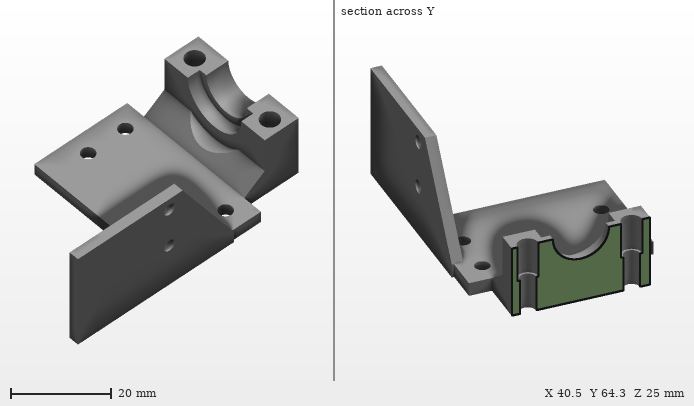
import cadquery as cq

plate_length = 40.0
plate_width = 25.0
plate_thickness = 3.0
plate_hole_diameter = 3.3
plate_hole_edge_offset = 5.0
plate_hole_rows = (10.0, 20.0)

wall_thickness = 2.5
wall_overhang = 0.5
wall_height = 25.0
wall_front_y = -24.65
wall_top_length = 28.15
wall_foot_length = 42.0
wall_hole_diameter = 2.9
wall_hole_y = 0.0
wall_hole_heights = (11.4, 21.9)

cradle_length = 30.0
cradle_height = 16.0
cradle_depth = 9.15
ramp_depth = 5.5
ramp_top_height = 7.0
bore_radius = 6.05
seat_radius = 8.0
seat_depth = 3.2
clearance_radius = 11.5
screw_spacing = 22.5
screw_pair_shift = 0.2
screw_clearance_diameter = 3.5
screw_counterbore_diameter = 4.5
screw_counterbore_depth = 8.0

center_x = plate_length / 2
cradle_face_y = plate_width + ramp_depth
cradle_back_y = cradle_face_y + cradle_depth


def vertical_cylinder(x, y, diameter, bottom, height):
    return cq.Workplane("XY", origin=(x, y, bottom)).circle(diameter / 2).extrude(height)


def bore_cylinder(radius, start_y, end_y):
    """Cylinder along Y on the bearing axis, which lies in the cradle's top face."""
    plane = cq.Workplane("XZ", origin=(center_x, start_y, cradle_height))
    return plane.circle(radius).extrude(start_y - end_y)


def extruded_side_profile(points, start_x, thickness):
    """Prism along X from a closed outline of (Y, Z) points."""
    return cq.Workplane("YZ", origin=(start_x, 0, 0)).polyline(points).close().extrude(thickness)


def make_plate():
    plate = cq.Workplane("XY").box(plate_length, plate_width, plate_thickness, centered=False)
    for x in (plate_hole_edge_offset, plate_length - plate_hole_edge_offset):
        for y in plate_hole_rows:
            plate = plate.cut(vertical_cylinder(x, y, plate_hole_diameter, 0, plate_thickness))
    return plate


def make_wall():
    wall_left_x = plate_length + wall_overhang - wall_thickness
    foot_end_y = wall_front_y + wall_foot_length
    outline = [
        (wall_front_y, 0),
        (foot_end_y, 0),
        (foot_end_y, plate_thickness),
        (wall_front_y + wall_top_length, wall_height),
        (wall_front_y, wall_height),
    ]
    wall = extruded_side_profile(outline, wall_left_x, wall_thickness)
    for z in wall_hole_heights:
        hole_plane = cq.Workplane("YZ", origin=(wall_left_x, wall_hole_y, z))
        wall = wall.cut(hole_plane.circle(wall_hole_diameter / 2).extrude(wall_thickness))
    return wall


def make_cradle():
    outline = [
        (plate_width, 0),
        (cradle_back_y, 0),
        (cradle_back_y, cradle_height),
        (cradle_face_y, cradle_height),
        (cradle_face_y, ramp_top_height),
        (plate_width, plate_thickness),
    ]
    cradle = extruded_side_profile(outline, center_x - cradle_length / 2, cradle_length)

    cradle = cradle.cut(bore_cylinder(bore_radius, cradle_face_y, cradle_back_y))
    cradle = cradle.cut(bore_cylinder(seat_radius, cradle_face_y, cradle_face_y + seat_depth))
    cradle = cradle.cut(bore_cylinder(clearance_radius, plate_width, cradle_face_y))

    screw_y = (cradle_face_y + cradle_back_y) / 2
    counterbore_floor = cradle_height - screw_counterbore_depth
    for side in (-1, 1):
        x = center_x + screw_pair_shift + side * screw_spacing / 2
        cradle = cradle.cut(vertical_cylinder(x, screw_y, screw_clearance_diameter, 0, cradle_height))
        cradle = cradle.cut(
            vertical_cylinder(
                x, screw_y, screw_counterbore_diameter, counterbore_floor, screw_counterbore_depth
            )
        )
    return cradle


result = make_plate().union(make_wall()).union(make_cradle())